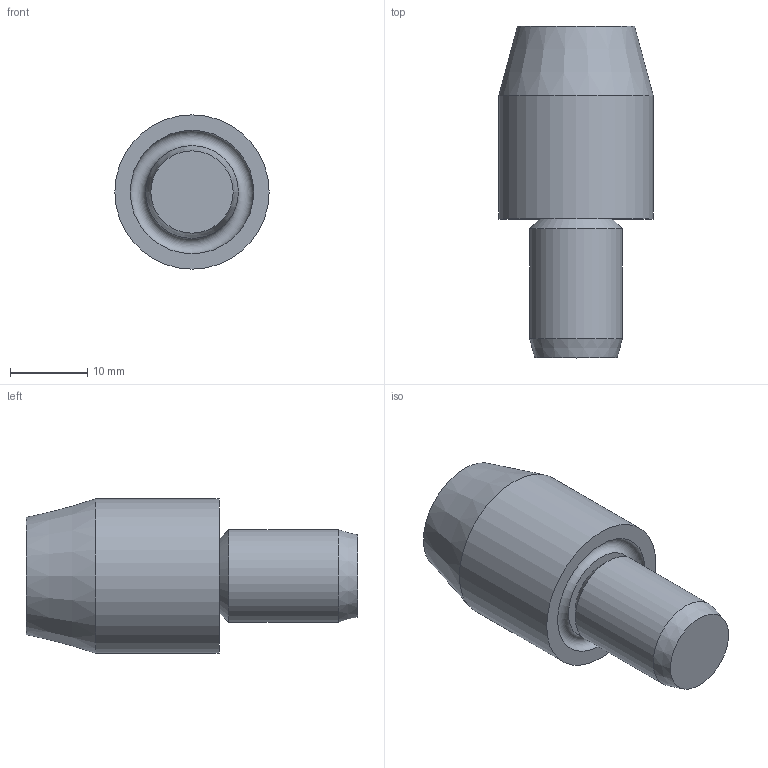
import cadquery as cq
import math

head_radius = 10.0
head_length = 25.0
head_taper_length = 9.0
pin_radius = 6.0
pin_length = 18.0
pin_taper_length = 2.5
taper_angle = math.radians(15)

undercut_depth = 1.25

groove_radius = 1.0

head_end_radius = head_radius - head_taper_length * math.tan(taper_angle)
pin_end_radius = pin_radius - pin_taper_length * math.tan(taper_angle)
neck_radius = pin_radius - undercut_depth
groove_center_radius = pin_radius + groove_radius


def make_head():
    """Cylindrical head with a tapered free end."""
    profile = (
        cq.Workplane("XY")
        .lineTo(head_radius, 0)
        .lineTo(head_radius, head_length - head_taper_length)
        .lineTo(head_end_radius, head_length)
        .lineTo(0, head_length)
        .close()
    )
    return profile.revolve(360, (0, 0, 0), (0, 1, 0))


def make_pin():
    """Pin with a conical undercut at the shoulder and a tapered tip."""
    profile = (
        cq.Workplane("XY")
        .lineTo(neck_radius, 0)
        .lineTo(pin_radius, -undercut_depth)
        .lineTo(pin_radius, pin_taper_length - pin_length)
        .lineTo(pin_end_radius, -pin_length)
        .lineTo(0, -pin_length)
        .close()
    )
    return profile.revolve(360, (0, 0, 0), (0, 1, 0))


def make_groove():
    """Ring that cuts the half-round groove into the shoulder."""
    section = cq.Workplane("XY").center(groove_center_radius, 0).circle(groove_radius)
    return section.revolve(360, (-groove_center_radius, 0, 0), (-groove_center_radius, 1, 0))


result = make_head().cut(make_groove()).union(make_pin())